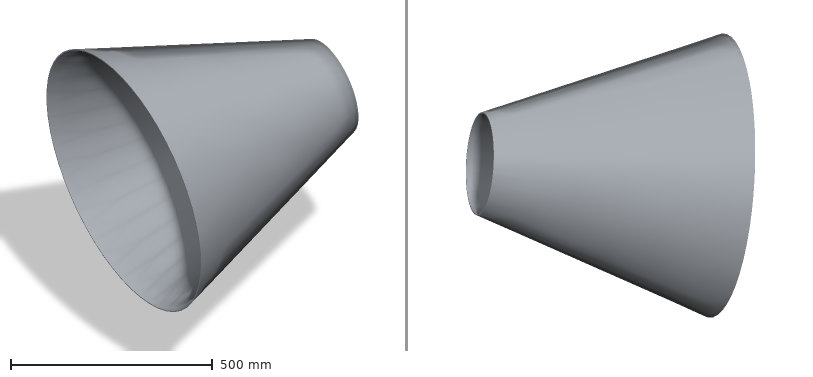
import cadquery as cq
import math

wide_diameter = 706.0
narrow_diameter = 256.0
length = 610.0
wall = 3.0

wide_radius = wide_diameter / 2
narrow_radius = narrow_diameter / 2
half_angle = math.atan((wide_radius - narrow_radius) / length)
radial_wall = wall / math.cos(half_angle)

wall_section = (
    cq.Workplane("XY")
    .moveTo(wide_radius, 0)
    .lineTo(narrow_radius, length)
    .lineTo(narrow_radius - radial_wall, length)
    .lineTo(wide_radius - radial_wall, 0)
    .close()
)

result = wall_section.revolve(360, (0, 0, 0), (0, 1, 0))